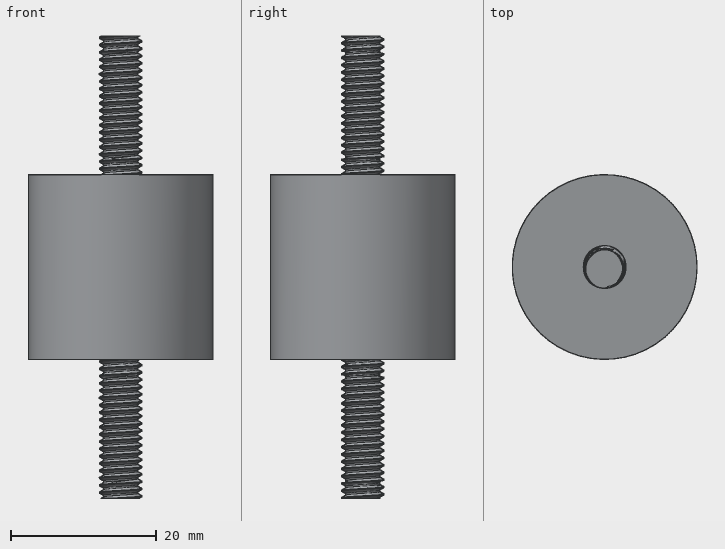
import cadquery as cq
import math

body_diameter = 25.4
body_length = 25.4
stud_length = 19.05

major_diameter = 5.88
minor_diameter = 4.74
pitch = 1.0
flank_angle = 30.0
crest_width = pitch / 8
crest_height = 0.28
root_overlap = 0.1
overrun_turns = 2

major_radius = major_diameter / 2
minor_radius = minor_diameter / 2
overrun = overrun_turns * pitch
core_overrun = 2 * overrun


def make_ridge():
    """Helical ridge of the thread, running past both ends of a stud standing on Z = 0."""
    inner_radius = minor_radius - root_overlap
    crest_half = crest_width / 2
    base_half = crest_half + (major_radius - inner_radius) * math.tan(math.radians(flank_angle))
    turns = math.ceil(stud_length / pitch) + 2 * overrun_turns
    profile = (
        cq.Workplane("XZ")
        .polyline([
            (inner_radius, -base_half),
            (major_radius, -crest_half),
            (major_radius, crest_half),
            (inner_radius, base_half),
        ])
        .close()
    )
    helix = cq.Wire.makeHelix(pitch, turns * pitch, minor_radius)
    ridge = profile.sweep(cq.Workplane(obj=helix), isFrenet=True)
    return ridge.translate((0, 0, crest_height - overrun))


def make_stud():
    """Threaded stud standing on Z = 0, with both ends cut square."""
    core_length = stud_length + 2 * core_overrun
    core = cq.Workplane("XY").workplane(offset=-core_overrun).circle(minor_radius).extrude(core_length)
    envelope = cq.Workplane("XY").circle(body_diameter / 2).extrude(stud_length)
    return core.union(make_ridge()).intersect(envelope)


def make_body():
    """Plain cylinder centred on the origin."""
    return cq.Workplane("XY").workplane(offset=-body_length / 2).circle(body_diameter / 2).extrude(body_length)


stud = make_stud()
result = make_body()
for base_height in (body_length / 2, -body_length / 2 - stud_length):
    result = result.union(stud.translate((0, 0, base_height)))